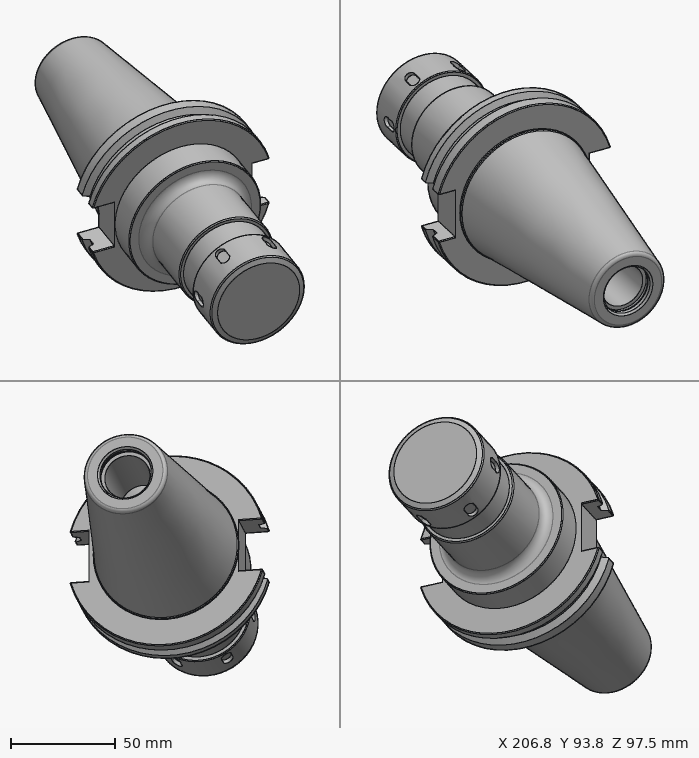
import cadquery as cq
import math

OVERALL_LENGTH = 206.77

GAUGE_DIAMETER = 69.85
TAPER_RATIO = 7 / 24
TAPER_LENGTH = 101.75
SHANK_END_RADIUS = 2.0

FLANGE_DIAMETER = 97.5
FLANGE_START = 1.45
FLANGE_END = 19.1
FLANGE_CHAMFER = 0.5
COLLAR_DIAMETER = 70.8
COLLAR_LENGTH = 1.0

GROOVE_CENTER = 11.05
GROOVE_FLOOR_DIAMETER = 91.0
GROOVE_FLOOR_WIDTH = 3.5
GROOVE_FLANK_ANGLE = 30.0

SLOT_WIDTH = 25.7
SLOT_EDGE_CHAMFER = 0.45
SLOT_FLOORS = [(1, 37.7), (-1, 35.3)]

SHOULDER_DIAMETER = 70.0
SHOULDER_END = 34.65
SHOULDER_CHAMFER = 0.5
NOSE_DIAMETER = 49.8
NOSE_FILLET = 5.0
NOSE_END = 69.35
NOSE_CHAMFER = 0.6
NECK_DIAMETER = 45.5

NUT_DIAMETER = 50.0
NUT_START = 84.0
NUT_END = OVERALL_LENGTH - TAPER_LENGTH
NUT_REAR_CHAMFER = 0.5
NUT_FACE_DIAMETER = 43.5
NUT_FRONT_ANGLE = 20.0
NUT_FRONT_CHAMFER = 0.6
SPANNER_SLOTS = 6
SPANNER_SLOT_LENGTH = 10.0
SPANNER_SLOT_WIDTH = 5.4
SPANNER_SLOT_FLOOR = 23.0
SPANNER_SLOT_CENTER = 90.95

PILOT_DIAMETER = 25.0
PILOT_MOUTH_DIAMETER = 27.0
PILOT_DEPTH = 3.5
RELIEF_DIAMETER = 25.84
RELIEF_DEPTH = 5.5
THREAD_HOLE_DIAMETER = 21.97
THREAD_HOLE_DEPTH = 45.0
FLOOR_CONE_ANGLE = 118.0


def revolve(profile):
    """Close the outline and turn it about the X axis."""
    return profile.close().revolve(360, (0, 0, 0), (1, 0, 0))


def make_blank():
    """Holder outline turned about the axis, before the groove, slots and hole are cut."""
    shank_end_diameter = GAUGE_DIAMETER - TAPER_LENGTH * TAPER_RATIO
    collar = COLLAR_DIAMETER / 2
    flange = FLANGE_DIAMETER / 2
    shoulder = SHOULDER_DIAMETER / 2
    nose = NOSE_DIAMETER / 2
    neck = NECK_DIAMETER / 2
    fillet_middle = NOSE_FILLET * (1 - math.sqrt(0.5))
    blank = revolve(
        cq.Workplane("XY")
        .moveTo(-TAPER_LENGTH, 0)
        .lineTo(-TAPER_LENGTH, shank_end_diameter / 2)
        .lineTo(0, GAUGE_DIAMETER / 2)
        .lineTo(FLANGE_START - COLLAR_LENGTH, collar)
        .lineTo(FLANGE_START, collar)
        .lineTo(FLANGE_START, flange - FLANGE_CHAMFER)
        .lineTo(FLANGE_START + FLANGE_CHAMFER, flange)
        .lineTo(FLANGE_END - FLANGE_CHAMFER, flange)
        .lineTo(FLANGE_END, flange - FLANGE_CHAMFER)
        .lineTo(FLANGE_END, shoulder)
        .lineTo(SHOULDER_END - SHOULDER_CHAMFER, shoulder)
        .lineTo(SHOULDER_END, shoulder - SHOULDER_CHAMFER)
        .lineTo(SHOULDER_END, nose + NOSE_FILLET)
        .threePointArc(
            (SHOULDER_END + fillet_middle, nose + fillet_middle),
            (SHOULDER_END + NOSE_FILLET, nose),
        )
        .lineTo(NOSE_END - NOSE_CHAMFER, nose)
        .lineTo(NOSE_END, nose - NOSE_CHAMFER)
        .lineTo(NOSE_END, neck)
        .lineTo(NUT_START, neck)
        .lineTo(NUT_START, 0)
    )
    return blank.faces("<X").edges().fillet(SHANK_END_RADIUS)


def make_v_groove():
    top = FLANGE_DIAMETER / 2
    floor = GROOVE_FLOOR_DIAMETER / 2
    half_floor = GROOVE_FLOOR_WIDTH / 2
    half_top = half_floor + (top - floor) * math.tan(math.radians(GROOVE_FLANK_ANGLE))
    return revolve(
        cq.Workplane("XY")
        .moveTo(GROOVE_CENTER - half_floor, floor)
        .lineTo(GROOVE_CENTER - half_top, top)
        .lineTo(GROOVE_CENTER + half_top, top)
        .lineTo(GROOVE_CENTER + half_floor, floor)
    )


def make_drive_slot(side, floor):
    """Square slot across the flange, open towards the given side of Y."""
    slot = cq.Workplane("XY").box(FLANGE_END - FLANGE_START, FLANGE_DIAMETER, SLOT_WIDTH)
    middle = (FLANGE_START + FLANGE_END) / 2
    return slot.translate((middle, side * (floor + FLANGE_DIAMETER / 2), 0))


def make_pull_stud_hole():
    cone_height = THREAD_HOLE_DIAMETER / 2 / math.tan(math.radians(FLOOR_CONE_ANGLE / 2))
    mouth_depth = (PILOT_MOUTH_DIAMETER - PILOT_DIAMETER) / 2
    hole = revolve(
        cq.Workplane("XY")
        .moveTo(0, 0)
        .lineTo(0, PILOT_MOUTH_DIAMETER / 2)
        .lineTo(mouth_depth, PILOT_DIAMETER / 2)
        .lineTo(PILOT_DEPTH, PILOT_DIAMETER / 2)
        .lineTo(PILOT_DEPTH, RELIEF_DIAMETER / 2)
        .lineTo(RELIEF_DEPTH, RELIEF_DIAMETER / 2)
        .lineTo(RELIEF_DEPTH, THREAD_HOLE_DIAMETER / 2)
        .lineTo(THREAD_HOLE_DEPTH, THREAD_HOLE_DIAMETER / 2)
        .lineTo(THREAD_HOLE_DEPTH - cone_height, 0)
    )
    return hole.translate((-TAPER_LENGTH, 0, 0))


def chamfer_drive_slots(holder):
    """Bevel the slot walls where they meet the rim and both end faces, but not along the slot floors."""
    outside_floors = max(floor for _, floor in SLOT_FLOORS) + SLOT_EDGE_CHAMFER
    edges = []
    for wall in holder.faces("|Z").vals():
        edges += [edge for edge in wall.Edges() if abs(edge.Center().y) > outside_floors]
    return holder.newObject(edges).chamfer(SLOT_EDGE_CHAMFER)


def make_holder():
    holder = make_blank()
    for side, floor in SLOT_FLOORS:
        holder = holder.cut(make_drive_slot(side, floor))
    holder = chamfer_drive_slots(holder)
    holder = holder.cut(make_v_groove())
    return holder.cut(make_pull_stud_hole())


def make_spanner_slot():
    """Round-ended flat-bottomed slot in the -Y side of the nut."""
    return (
        cq.Workplane("XZ", origin=(SPANNER_SLOT_CENTER, -SPANNER_SLOT_FLOOR, 0))
        .slot2D(SPANNER_SLOT_LENGTH, SPANNER_SLOT_WIDTH)
        .extrude(NUT_DIAMETER / 2)
    )


def make_nut():
    """Clamping nut against the neck end, with its slots spaced evenly around the axis."""
    radius = NUT_DIAMETER / 2
    face = NUT_FACE_DIAMETER / 2
    cone_rim = radius - NUT_FRONT_CHAMFER
    cone_start = NUT_END - (cone_rim - face) * math.tan(math.radians(NUT_FRONT_ANGLE))
    nut = revolve(
        cq.Workplane("XY")
        .moveTo(NUT_START, 0)
        .lineTo(NUT_START, radius - NUT_REAR_CHAMFER)
        .lineTo(NUT_START + NUT_REAR_CHAMFER, radius)
        .lineTo(cone_start - NUT_FRONT_CHAMFER, radius)
        .lineTo(cone_start, cone_rim)
        .lineTo(NUT_END, face)
        .lineTo(NUT_END, 0)
    )
    for i in range(SPANNER_SLOTS):
        turn = i * 360 / SPANNER_SLOTS
        nut = nut.cut(make_spanner_slot().rotate((0, 0, 0), (1, 0, 0), turn))
    return nut


holder = make_holder()
nut = make_nut()
result = cq.Compound.makeCompound([holder.val(), nut.val()])